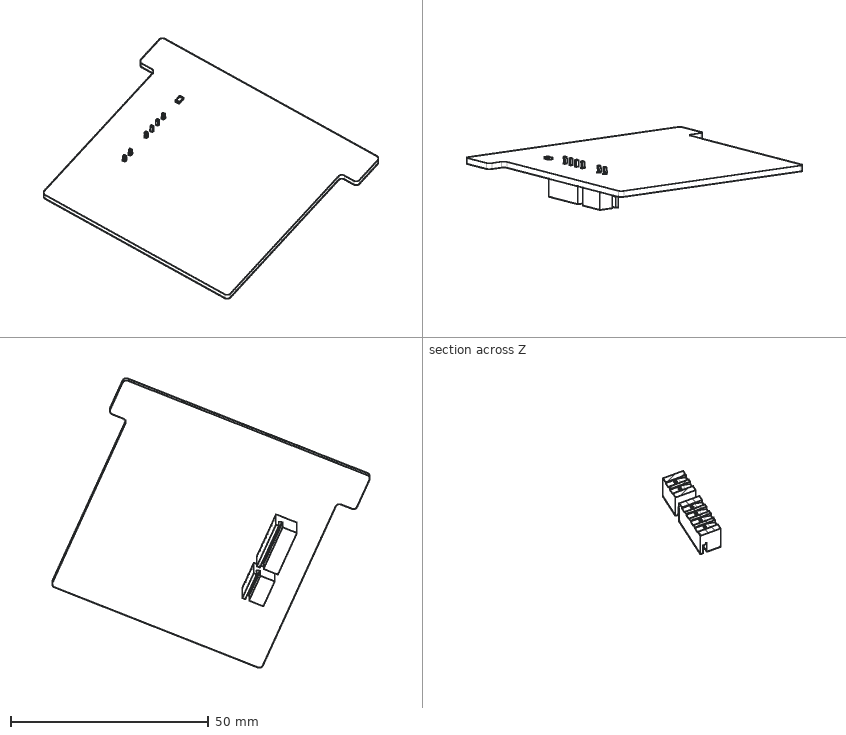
import cadquery as cq

BOARD_WIDTH = 68.0
BOARD_DEPTH = 59.2
BOARD_THICKNESS = 1.55
EAR_WIDTH = 5.0
EAR_DEPTH = 10.0
CORNER_RADIUS = 1.0

BOARD_GAP = 0.1
FOUR_PIN_COUNT = 4
FOUR_PIN_SPAN = 7.5
PIN_PITCH = FOUR_PIN_SPAN / (FOUR_PIN_COUNT - 1)
PIN_SIDE = 0.64
PIN_LENGTH = 3.4
PIN_TIP_CHAMFER = 0.17
PIN_KINK_OFFSET = 0.2
PIN_KINK_HEIGHT = 0.2
PIN_ROW_X = -18.3
HOUSING_HEIGHT = 7.0
HOUSING_FRONT_X = PIN_ROW_X - 3.3
HOUSING_THICKNESS = 5.8
HOUSING_END_MARGIN = 2.45
FOUR_PIN_Y = 4.55
FOUR_PIN_HOLE_DIAMETER = 0.95
TWO_PIN_COUNT = 2
TWO_PIN_Y = -7.35
TWO_PIN_HOLE_DIAMETER = 1.0

SLOT_LEFT_X = PIN_ROW_X + 0.6
SLOT_WIDTH = 1.0
SLOT_DEPTH = 3.3
SLOT_BEVEL_WIDTH = 0.8
SLOT_BEVEL_HEIGHT = 0.5

CHANNEL_WIDTH = 1.5
CHANNEL_DEPTH = 0.24
RAMP_LENGTH = 2.2
RAMP_FOOT_DEPTH = 0.9

CHIP_X = -18.3
CHIP_Y = 15.4
CHIP_WIDTH = 1.2
CHIP_LENGTH = 2.0
CHIP_HEIGHT = 0.5
CHIP_CAP_LENGTH = 0.3
CHIP_CAP_STEP = 0.035


def pin_positions(count, center_y):
    """Points (x, y) of a row of pins along Y."""
    first_y = center_y - PIN_PITCH * (count - 1) / 2
    return [(PIN_ROW_X, first_y + PIN_PITCH * i) for i in range(count)]


def make_board():
    half_width = BOARD_WIDTH / 2
    half_depth = BOARD_DEPTH / 2
    neck_x = half_width - EAR_WIDTH
    step_y = half_depth - EAR_DEPTH
    outline = [
        (-half_width, half_depth),
        (half_width, half_depth),
        (half_width, step_y),
        (neck_x, step_y),
        (neck_x, -half_depth),
        (-neck_x, -half_depth),
        (-neck_x, step_y),
        (-half_width, step_y),
    ]
    board = cq.Workplane("XY").polyline(outline).close().extrude(BOARD_THICKNESS)
    board = board.edges("|Z").fillet(CORNER_RADIUS)
    pin_holes = [
        (FOUR_PIN_COUNT, FOUR_PIN_Y, FOUR_PIN_HOLE_DIAMETER),
        (TWO_PIN_COUNT, TWO_PIN_Y, TWO_PIN_HOLE_DIAMETER),
    ]
    for count, center_y, diameter in pin_holes:
        holes = (
            cq.Workplane("XY")
            .pushPoints(pin_positions(count, center_y))
            .circle(diameter / 2)
            .extrude(BOARD_THICKNESS)
        )
        board = board.cut(holes)
    return board


def extrude_along_y(points, length, center_y):
    """Prism with an (x, z) outline, centred on center_y."""
    prism = cq.Workplane("XZ").polyline(points).close().extrude(length / 2, both=True)
    return prism.translate((0, center_y, 0))


def make_slot(length, center_y):
    bottom_z = -HOUSING_HEIGHT
    top_z = bottom_z + SLOT_DEPTH
    right_x = SLOT_LEFT_X + SLOT_WIDTH
    outline = [
        (SLOT_LEFT_X, bottom_z),
        (SLOT_LEFT_X, top_z),
        (right_x - SLOT_BEVEL_WIDTH, top_z),
        (right_x, top_z - SLOT_BEVEL_HEIGHT),
        (right_x, bottom_z),
    ]
    return extrude_along_y(outline, length, center_y)


def make_channel(center_y):
    back_x = HOUSING_FRONT_X + HOUSING_THICKNESS
    outline = [
        (HOUSING_FRONT_X, 0),
        (HOUSING_FRONT_X, -RAMP_FOOT_DEPTH),
        (HOUSING_FRONT_X + RAMP_LENGTH, -CHANNEL_DEPTH),
        (back_x, -CHANNEL_DEPTH),
        (back_x, 0),
    ]
    return extrude_along_y(outline, CHANNEL_WIDTH, center_y)


def make_pin(x, y, kink_offset):
    """Square pin through the board; kink_offset bends it towards +X just above the board."""
    half_side = PIN_SIDE / 2
    board_top_z = BOARD_GAP + BOARD_THICKNESS
    centerline = [
        (x, -CHANNEL_DEPTH),
        (x, board_top_z),
        (x + kink_offset, board_top_z + PIN_KINK_HEIGHT),
        (x, PIN_LENGTH),
    ]
    left_side = [(point_x - half_side, z) for point_x, z in centerline]
    right_side = [(point_x + half_side, z) for point_x, z in reversed(centerline)]
    pin = extrude_along_y(left_side + right_side, PIN_SIDE, y)
    return pin.faces(">Z").chamfer(PIN_TIP_CHAMFER)


def make_header(count, center_y):
    """Housing and its pins as one solid, with only the two end pins kinked.

    It is built with the housing top at z = 0 and then lowered to leave the gap under the board.
    """
    length = PIN_PITCH * (count - 1) + 2 * HOUSING_END_MARGIN
    header = (
        cq.Workplane("XY")
        .box(HOUSING_THICKNESS, length, HOUSING_HEIGHT, centered=(False, True, False))
        .translate((HOUSING_FRONT_X, center_y, -HOUSING_HEIGHT))
    )
    header = header.cut(make_slot(length, center_y))
    for index, (x, y) in enumerate(pin_positions(count, center_y)):
        is_end_pin = index in (0, count - 1)
        kink_offset = PIN_KINK_OFFSET if is_end_pin else 0
        header = header.cut(make_channel(y)).union(make_pin(x, y, kink_offset))
    return header.translate((0, 0, -BOARD_GAP))


def make_chip():
    """Block with two end caps that stand slightly proud of the middle."""
    middle_length = CHIP_LENGTH - 2 * CHIP_CAP_LENGTH
    middle_width = CHIP_WIDTH - 2 * CHIP_CAP_STEP
    middle_height = CHIP_HEIGHT - CHIP_CAP_STEP
    on_board = (True, True, False)
    chip = cq.Workplane("XY").box(middle_width, middle_length, middle_height, centered=on_board)
    cap_offset = (CHIP_LENGTH - CHIP_CAP_LENGTH) / 2
    for side in (-1, 1):
        cap = cq.Workplane("XY").box(CHIP_WIDTH, CHIP_CAP_LENGTH, CHIP_HEIGHT, centered=on_board)
        chip = chip.union(cap.translate((0, side * cap_offset, 0)))
    return chip.translate((CHIP_X, CHIP_Y, BOARD_THICKNESS))


board = make_board()
four_pin_header = make_header(FOUR_PIN_COUNT, FOUR_PIN_Y)
two_pin_header = make_header(TWO_PIN_COUNT, TWO_PIN_Y)
chip = make_chip()

bodies = [board, four_pin_header, two_pin_header, chip]
result = cq.Compound.makeCompound([body.solids().val() for body in bodies])